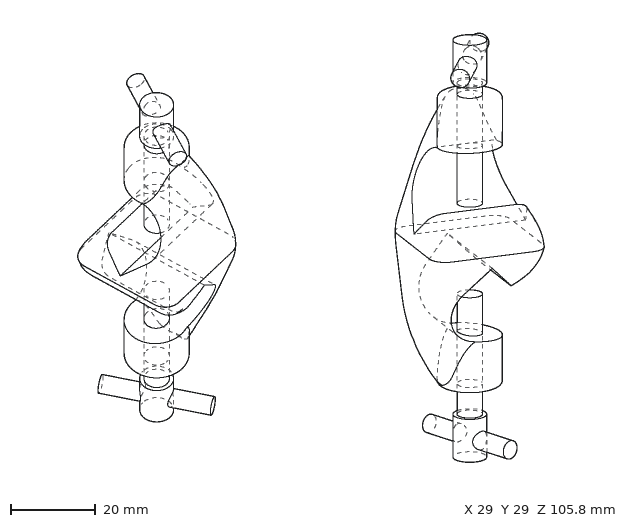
import cadquery as cq
import math

WIDTH = 29.0
HALF_WIDTH = WIDTH / 2
CLAMP_HEIGHT = 36.0
EDGE_FILLET = 4.0
EDGE_MARGIN = 0.1

SEAT_HEIGHT = 3.0
THROAT_RADIUS = 8.0
THROAT_X = 0.7
THROAT_Z = THROAT_X + SEAT_HEIGHT + THROAT_RADIUS * math.sqrt(2)
ROOF_SLOPE = 5.0

BACK_STRAIGHT = 14.3
BACK_RADIUS = 36.0
LIP_RADIUS = 14.0
LIP_LEAN = 14.6
LIP_SLOPE = 30.0

SIDE_RADIUS = 14.0
SIDE_TAPER = 18.5

BOSS_RADIUS = 7.7
BOSS_FILLET = 1.0
ARM_HEIGHT = CLAMP_HEIGHT - BOSS_FILLET

SHANK_DIAMETER = 6.0
SHANK_LENGTH = 29.9
HEAD_DIAMETER = 8.0
HEAD_LENGTH = 10.7
HEAD_CONE = 1.0
HANDLE_DIAMETER = 4.5
HANDLE_LENGTH = 27.5
HANDLE_CONE = 0.2
HANDLE_OFFSET = 5.6
UPPER_TIP_Z = 8.9
LOWER_TIP_Z = -13.7
UPPER_HANDLE_ANGLE = -31.5
LOWER_HANDLE_ANGLE = 22.0


def on_circle(center_x, center_z, radius, angle):
    """Point on a circle, with the angle in degrees from the horizontal axis."""
    turn = math.radians(angle)
    return center_x + radius * math.cos(turn), center_z + radius * math.sin(turn)


def arm_outline():
    """Outer outline of the arm, closed through the space that the mouth removes."""
    lip_x = LIP_RADIUS * math.cos(math.radians(LIP_LEAN)) - HALF_WIDTH
    lip_z = -LIP_RADIUS * math.sin(math.radians(LIP_LEAN))
    lip_start_turn = 180 - LIP_LEAN
    lip_end_turn = 90 + LIP_SLOPE
    lip_end = on_circle(lip_x, lip_z, LIP_RADIUS, lip_end_turn)
    lip_middle = on_circle(lip_x, lip_z, LIP_RADIUS, (lip_start_turn + lip_end_turn) / 2)
    inner_z = lip_end[1] - lip_end[0] * math.tan(math.radians(LIP_SLOPE))

    back_x = HALF_WIDTH - BACK_RADIUS
    back_turn = math.degrees(math.asin((ARM_HEIGHT - BACK_STRAIGHT) / BACK_RADIUS))
    back_end = on_circle(back_x, BACK_STRAIGHT, BACK_RADIUS, back_turn)
    back_middle = on_circle(back_x, BACK_STRAIGHT, BACK_RADIUS, back_turn / 2)
    return (
        cq.Workplane("XZ")
        .moveTo(-HALF_WIDTH, 0)
        .threePointArc(lip_middle, lip_end)
        .lineTo(0, inner_z)
        .lineTo(0, ARM_HEIGHT)
        .lineTo(*back_end)
        .threePointArc(back_middle, (HALF_WIDTH, BACK_STRAIGHT))
        .lineTo(HALF_WIDTH, 0)
        .close()
        .extrude(HALF_WIDTH, both=True)
    )


def tapered_sides():
    """Block whose sides curve inward from the joint plane and then taper straight to the top."""
    side_x = HALF_WIDTH - SIDE_RADIUS
    bend_end = on_circle(side_x, 0, SIDE_RADIUS, SIDE_TAPER)
    bend_middle = on_circle(side_x, 0, SIDE_RADIUS, SIDE_TAPER / 2)
    top_y = bend_end[0] - (ARM_HEIGHT - bend_end[1]) * math.tan(math.radians(SIDE_TAPER))
    return (
        cq.Workplane("YZ")
        .moveTo(HALF_WIDTH, 0)
        .threePointArc(bend_middle, bend_end)
        .lineTo(top_y, ARM_HEIGHT)
        .lineTo(-top_y, ARM_HEIGHT)
        .lineTo(-bend_end[0], bend_end[1])
        .threePointArc((-bend_middle[0], bend_middle[1]), (-HALF_WIDTH, 0))
        .close()
        .extrude(HALF_WIDTH, both=True)
    )


def mouth():
    """Space for the clamped rod: V seat, round throat and the sloping underside of the boss."""
    throat_start = on_circle(THROAT_X, THROAT_Z, THROAT_RADIUS, -45)
    throat_middle = on_circle(THROAT_X, THROAT_Z, THROAT_RADIUS, 0)
    throat_end = on_circle(THROAT_X, THROAT_Z, THROAT_RADIUS, 90 - ROOF_SLOPE)
    open_x = -WIDTH
    roof_z = throat_end[1] + (throat_end[0] - open_x) * math.tan(math.radians(ROOF_SLOPE))
    return (
        cq.Workplane("XZ")
        .moveTo(0, SEAT_HEIGHT)
        .lineTo(*throat_start)
        .threePointArc(throat_middle, throat_end)
        .lineTo(open_x, roof_z)
        .lineTo(open_x, SEAT_HEIGHT - open_x)
        .close()
        .extrude(WIDTH, both=True)
    )


def clamp_half():
    """Upper half: filleted arm with boss, mouth and a hole for the screw."""
    arm = arm_outline().intersect(tapered_sides())
    lip_edges = cq.selectors.BoxSelector((-WIDTH, -WIDTH, EDGE_MARGIN), (-EDGE_MARGIN, WIDTH, WIDTH))
    back_edges = cq.selectors.BoxSelector(
        (HALF_WIDTH / 2, -WIDTH, EDGE_MARGIN),
        (WIDTH, WIDTH, ARM_HEIGHT - EDGE_MARGIN),
    )
    arm = arm.edges(lip_edges + back_edges).edges("not (|X or |Y)").fillet(EDGE_FILLET)
    boss = (
        cq.Workplane("XY", origin=(0, 0, THROAT_Z))
        .circle(BOSS_RADIUS)
        .extrude(CLAMP_HEIGHT - THROAT_Z)
        .faces(">Z")
        .edges()
        .fillet(BOSS_FILLET)
    )
    screw_hole = (
        cq.Workplane("XY", origin=(0, 0, THROAT_Z))
        .circle(SHANK_DIAMETER / 2)
        .extrude(CLAMP_HEIGHT)
    )
    return arm.union(boss).cut(mouth()).cut(screw_hole)


def screw(handle_angle):
    """Screw with its tip at the origin, pointing down, and its cross handle near the top."""
    cone_z = SHANK_LENGTH + HEAD_LENGTH
    spindle = (
        cq.Workplane("XZ")
        .lineTo(SHANK_DIAMETER / 2, 0)
        .lineTo(SHANK_DIAMETER / 2, SHANK_LENGTH)
        .lineTo(HEAD_DIAMETER / 2, SHANK_LENGTH)
        .lineTo(HEAD_DIAMETER / 2, cone_z)
        .lineTo(0, cone_z + HEAD_CONE)
        .close()
        .revolve(360, (0, 0, 0), (0, 1, 0))
    )
    handle = (
        cq.Workplane("XY")
        .moveTo(-HANDLE_LENGTH / 2 - HANDLE_CONE, 0)
        .lineTo(-HANDLE_LENGTH / 2, HANDLE_DIAMETER / 2)
        .lineTo(HANDLE_LENGTH / 2, HANDLE_DIAMETER / 2)
        .lineTo(HANDLE_LENGTH / 2 + HANDLE_CONE, 0)
        .close()
        .revolve(360, (0, 0, 0), (1, 0, 0))
        .rotate((0, 0, 0), (0, 0, 1), handle_angle)
        .translate((0, 0, SHANK_LENGTH + HANDLE_OFFSET))
    )
    return spindle.union(handle)


upper_half = clamp_half()
lower_half = upper_half.rotate((0, 0, 0), (1, 1, 0), 180)

upper_screw = screw(UPPER_HANDLE_ANGLE).translate((0, 0, UPPER_TIP_Z))
lower_screw = (
    screw(-LOWER_HANDLE_ANGLE)
    .rotate((0, 0, 0), (1, 0, 0), 180)
    .translate((0, 0, LOWER_TIP_Z))
)

result = cq.Compound.makeCompound([
    upper_half.val(),
    lower_half.val(),
    upper_screw.val(),
    lower_screw.val(),
])